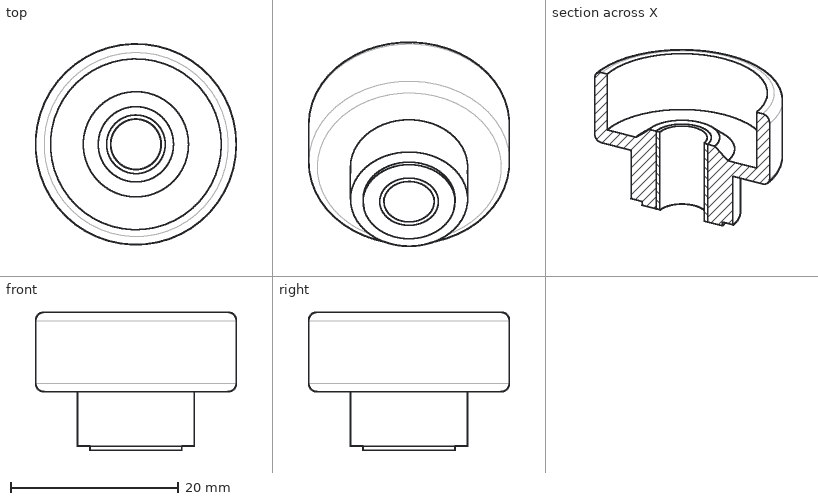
import cadquery as cq

total_height = 16.5
boss_height = 0.5
rim_bottom = 7.0
cup_depth = 7.5
cone_height = 1.5

rim_diameter = 24.0
cup_diameter = 20.4
hub_diameter = 14.0
boss_diameter = 11.0
cone_base_diameter = 12.58
cone_top_diameter = 9.0
bushing_diameter = 7.0
bore_diameter = 6.0

rim_fillet = 1.0

floor_height = total_height - cup_depth
bushing_length = floor_height + cone_height


def cylinder(diameter, bottom, top):
    """Vertical cylinder on the Z axis between two heights."""
    return cq.Workplane("XY").workplane(offset=bottom).circle(diameter / 2).extrude(top - bottom)


def make_cone():
    """Tapered collar that rises from the cup floor around the bushing."""
    return (
        cq.Workplane("XZ")
        .moveTo(0, floor_height)
        .lineTo(cone_base_diameter / 2, floor_height)
        .lineTo(cone_top_diameter / 2, bushing_length)
        .lineTo(0, bushing_length)
        .close()
        .revolve(360, (0, 0, 0), (0, 1, 0))
    )


def make_wheel():
    """Cup-shaped wheel with a stepped hub below and a hole for the bushing."""
    rim = cylinder(rim_diameter, rim_bottom, total_height).edges().fillet(rim_fillet)
    cup = cylinder(cup_diameter, floor_height, total_height)
    hub = cylinder(hub_diameter, boss_height, floor_height)
    boss = cylinder(boss_diameter, 0, boss_height)
    bushing_hole = cylinder(bushing_diameter, 0, bushing_length)
    return rim.cut(cup).union(hub).union(boss).union(make_cone()).cut(bushing_hole)


def make_bushing():
    """Plain sleeve, flush with the boss below and the collar above."""
    sleeve = cylinder(bushing_diameter, 0, bushing_length)
    return sleeve.cut(cylinder(bore_diameter, 0, bushing_length))


wheel = make_wheel()
bushing = make_bushing()

result = cq.Compound.makeCompound([wheel.solids().val(), bushing.solids().val()])